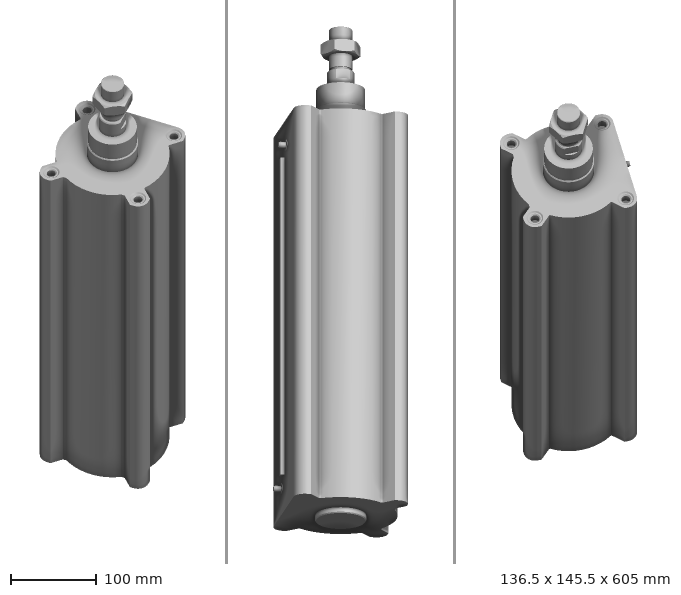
import cadquery as cq
import math


total_height = 605.0
boss_height = 6.5
barrel_top = 486.0
collar_step_z = 506.5
collar_top = 531.0
barrel_middle = (boss_height + barrel_top) / 2

barrel_radius = 66.5
corner_spacing = 109.5
corner_radius = 13.5
corner_offset = corner_spacing / 2
half_width = corner_offset + corner_radius
web_half_width = 13.0
web_shift = web_half_width * math.sqrt(2)
underside_offset = 57.0
side_offset = 55.5

collar_diameter = 60.0
collar_neck_diameter = 57.0
collar_chamfer = 1.0
boss_chamfer = 1.0

recess_diameter = 19.5
recess_floor_diameter = 16.5
recess_depth = 1.0
socket_mouth_diameter = 13.5
socket_diameter = 10.0
socket_bevel_depth = 1.0
socket_depth = 12.0

screw_offset_x = 13.5
screw_end_distance = 32.0
flange_diameter = 14.0
flange_height = 0.5
screw_diameter = 7.0
screw_tip_diameter = 5.75
screw_taper_length = 2.0
screw_height = 9.0

rail_length = 391.0
rail_width = 7.0
rail_height = 4.0

rod_diameter = 32.0
rod_shoulder_z = 553.0
rod_chamfer = 1.0
flats_bottom_z = 541.0
flats_width = 27.0
undercut_diameter = 24.0
thread_diameter = 27.0
thread_start_z = 556.0
thread_chamfer = 0.5

nut_bottom_z = 572.5
nut_height = 15.0
nut_width = 41.0
nut_chamfer_angle = 30.0


def box_between(x_range, y_range, z_range):
    sizes = [high - low for low, high in (x_range, y_range, z_range)]
    middle = [(high + low) / 2 for low, high in (x_range, y_range, z_range)]
    return cq.Workplane("XY").box(*sizes).translate(tuple(middle))


def cylinder(diameter, bottom_z, top_z):
    return cq.Workplane("XY").workplane(offset=bottom_z).circle(diameter / 2).extrude(top_z - bottom_z)


def corner_lobe(quarter_turns):
    """One corner of the barrel: a rounded square corner joined to the core by a 45 degree web."""
    arc_middle = corner_offset + corner_radius / math.sqrt(2)
    lobe = (
        cq.Workplane("XY").workplane(offset=boss_height)
        .moveTo(0, 0)
        .lineTo(web_shift, 0)
        .lineTo(half_width, half_width - web_shift)
        .lineTo(half_width, corner_offset)
        .threePointArc((arc_middle, arc_middle), (corner_offset, half_width))
        .lineTo(half_width - web_shift, half_width)
        .lineTo(0, web_shift)
        .close()
        .extrude(barrel_top - boss_height)
    )
    return lobe.rotate((0, 0, 0), (0, 0, 1), 90 * quarter_turns)


def barrel():
    body = cylinder(2 * barrel_radius, boss_height, barrel_top)
    for quarter_turns in range(4):
        body = body.union(corner_lobe(quarter_turns))
    flat_back = box_between(
        (-corner_offset, corner_offset), (0, half_width), (boss_height, barrel_top)
    )
    underside_half = underside_offset - web_shift
    flat_underside = box_between(
        (-underside_half, underside_half), (-underside_offset, 0), (boss_height, barrel_top)
    )
    side_half = side_offset - web_shift
    flat_sides = box_between(
        (-side_offset, side_offset), (-side_half, side_half), (boss_height, barrel_top)
    )
    return body.union(flat_back).union(flat_underside).union(flat_sides)


def collars():
    front = cylinder(collar_diameter, barrel_top, collar_step_z).faces(">Z").chamfer(collar_chamfer)
    neck = cylinder(collar_neck_diameter, collar_step_z, collar_top)
    rear = cylinder(collar_diameter, 0, boss_height).faces("<Z").chamfer(boss_chamfer)
    return front.union(neck).union(rear)


def bolt_recess():
    """Recess with a tapered wall and a countersunk socket, mouth at the origin, facing +Z."""
    return (
        cq.Workplane("XZ")
        .polyline([
            (0, 0),
            (recess_diameter / 2, 0),
            (recess_floor_diameter / 2, -recess_depth),
            (socket_mouth_diameter / 2, -recess_depth),
            (socket_diameter / 2, -recess_depth - socket_bevel_depth),
            (socket_diameter / 2, -socket_depth),
            (0, -socket_depth),
        ])
        .close()
        .revolve(360, (0, 0), (0, 1))
    )


def cushion_screw():
    """Flanged screw with a tapered tip, standing on the origin along +Z."""
    flange = cylinder(flange_diameter, 0, flange_height)
    shank = cylinder(screw_diameter, 0, screw_height - screw_taper_length)
    tip = cq.Workplane(cq.Solid.makeCone(
        screw_diameter / 2, screw_tip_diameter / 2, screw_taper_length,
        pnt=cq.Vector(0, 0, screw_height - screw_taper_length),
    ))
    return flange.union(shank).union(tip)


def cushion_screws():
    lower_z = boss_height + screw_end_distance
    upper_z = barrel_top - screw_end_distance
    upright = cushion_screw().rotate((0, 0, 0), (1, 0, 0), -90)
    upper = upright.translate((-screw_offset_x, half_width, upper_z))
    lower = upright.translate((screw_offset_x, half_width, lower_z))
    return upper.union(lower)


def rail():
    z_range = (barrel_middle - rail_length / 2, barrel_middle + rail_length / 2)
    return box_between(
        (-rail_width / 2, rail_width / 2), (half_width, half_width + rail_height), z_range
    )


def make_housing():
    housing = barrel().union(collars()).union(cushion_screws()).union(rail())
    for x in (-corner_offset, corner_offset):
        for y in (-corner_offset, corner_offset):
            housing = housing.cut(bolt_recess().translate((x, y, barrel_top)))
    return housing.cut(cylinder(rod_diameter, barrel_top, collar_top))


def make_rod():
    shank = cylinder(rod_diameter, barrel_top, rod_shoulder_z).faces(">Z").chamfer(rod_chamfer)
    for side in (-1, 1):
        inner = side * flats_width / 2
        outer = side * rod_diameter
        flat_cut = box_between(
            (min(inner, outer), max(inner, outer)),
            (-rod_diameter, rod_diameter),
            (flats_bottom_z, rod_shoulder_z),
        )
        shank = shank.cut(flat_cut)
    undercut = cylinder(undercut_diameter, rod_shoulder_z, thread_start_z)
    thread = cylinder(thread_diameter, thread_start_z, total_height).faces(">Z").chamfer(thread_chamfer)
    return shank.union(undercut).union(thread)


def make_nut():
    across_corners = nut_width / math.cos(math.pi / 6)
    bevel = (across_corners - nut_width) / 2
    drop = bevel * math.tan(math.radians(nut_chamfer_angle))
    hexagon = (
        cq.Workplane("XY").workplane(offset=nut_bottom_z)
        .transformed(rotate=(0, 0, 30))
        .polygon(6, across_corners)
        .extrude(nut_height)
    )
    bevelled_disc = cylinder(across_corners, nut_bottom_z, nut_bottom_z + nut_height)
    bevelled_disc = bevelled_disc.faces("<Z or >Z").chamfer(drop, bevel)
    bore = cylinder(thread_diameter, nut_bottom_z, nut_bottom_z + nut_height)
    return hexagon.intersect(bevelled_disc).cut(bore)


housing = make_housing()
rod = make_rod()
nut = make_nut()

result = cq.Compound.makeCompound([housing.val(), rod.val(), nut.val()])